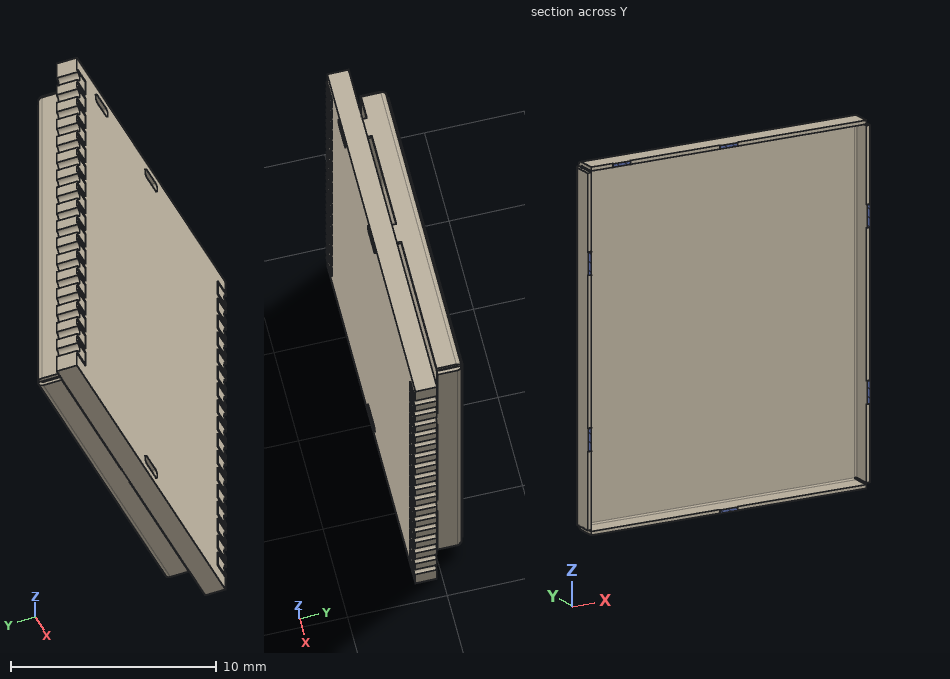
import cadquery as cq

board_width = 18.0
board_length = 20.0
board_thickness = 1.08

pad_count = 17
pad_pitch = 1.1
pad_width = 0.8
pad_length = 1.0
pad_thickness = 0.05
notch_diameter = 0.5

lid_width = 15.8
lid_length = 18.8
lid_height = 1.55
sheet = 0.2
bend_radius = 0.28
lid_clearance = 0.3
corner_slit = 0.08

label_width = 15.1
label_length = 18.0
label_thickness = 0.08

foot_width = 1.2
foot_offset = 4.5

tab_width = 1.0
tab_depth = 0.5
tab_corner_radius = 0.2
slot_length = 1.5
slot_width = 0.5
side_tab_x = -6.0

wall_center_z = (lid_length - sheet) / 2
tab_places = [(side_tab_x, wall_center_z), (0, wall_center_z), (0, -wall_center_z)]
pad_heights = [(i - (pad_count - 1) / 2) * pad_pitch for i in range(pad_count)]


def box_between(x_range, y_range, z_range):
    """Box spanning the given (low, high) ranges."""
    sizes = [high - low for low, high in (x_range, y_range, z_range)]
    corner = (x_range[0], y_range[0], z_range[0])
    return cq.Workplane("XY").box(*sizes, centered=False).translate(corner)


def centered_range(center, size):
    return (center - size / 2, center + size / 2)


def through_board(sketch):
    """Extrude an XZ sketch drawn at Y = 0 toward -Y, through the board and its pads."""
    return sketch.extrude(board_thickness + pad_thickness)


def make_board():
    half_width = board_width / 2
    board = box_between(
        (-half_width, half_width),
        (-board_thickness, 0),
        centered_range(0, board_length),
    )
    pad_y = (-board_thickness - pad_thickness, -board_thickness)
    for z in pad_heights:
        pad_z = centered_range(z, pad_width)
        board = board.union(box_between((-half_width, -half_width + pad_length), pad_y, pad_z))
        board = board.union(box_between((half_width - pad_length, half_width), pad_y, pad_z))

    notch_places = [(side * half_width, z) for side in (-1, 1) for z in pad_heights]
    notches = cq.Workplane("XZ").pushPoints(notch_places).circle(notch_diameter / 2)
    slots = cq.Workplane("XZ").pushPoints(tab_places).slot2D(slot_length, slot_width)
    return board.cut(through_board(notches)).cut(through_board(slots))


def make_lid_shell():
    """Open box with rounded bends, slit at the four corners."""
    outer = (
        box_between(
            centered_range(0, lid_width),
            (lid_clearance, lid_height),
            centered_range(0, lid_length),
        )
        .faces(">Y")
        .edges()
        .fillet(bend_radius)
    )
    inner = (
        box_between(
            centered_range(0, lid_width - 2 * sheet),
            (lid_clearance, lid_height - sheet),
            centered_range(0, lid_length - 2 * sheet),
        )
        .faces(">Y")
        .edges()
        .fillet(bend_radius - sheet)
    )
    lid = outer.cut(inner)
    relief = sheet + corner_slit
    for x_side in (-1, 1):
        for z_side in (-1, 1):
            corner = box_between(
                centered_range(x_side * (lid_width - sheet) / 2, sheet),
                (lid_clearance, lid_height),
                centered_range(z_side * (lid_length - relief) / 2, relief),
            )
            lid = lid.cut(corner)
    return lid


def make_lid():
    lid = make_lid_shell()
    for side in (-1, 1):
        for z in (-foot_offset, foot_offset):
            foot = box_between(
                centered_range(side * (lid_width - sheet) / 2, sheet),
                (0, lid_clearance),
                centered_range(z, foot_width),
            )
            lid = lid.union(foot)
    for x, z in tab_places:
        tab = (
            box_between(
                centered_range(x, tab_width),
                (-tab_depth, lid_clearance),
                centered_range(z, sheet),
            )
            .faces("<Y")
            .edges("|Z")
            .fillet(tab_corner_radius)
        )
        lid = lid.union(tab)
    return lid


def make_label():
    return box_between(
        centered_range(0, label_width),
        (lid_height, lid_height + label_thickness),
        centered_range(0, label_length),
    )


board = make_board()
lid = make_lid()
label = make_label()

result = cq.Compound.makeCompound([board.val(), lid.val(), label.val()])